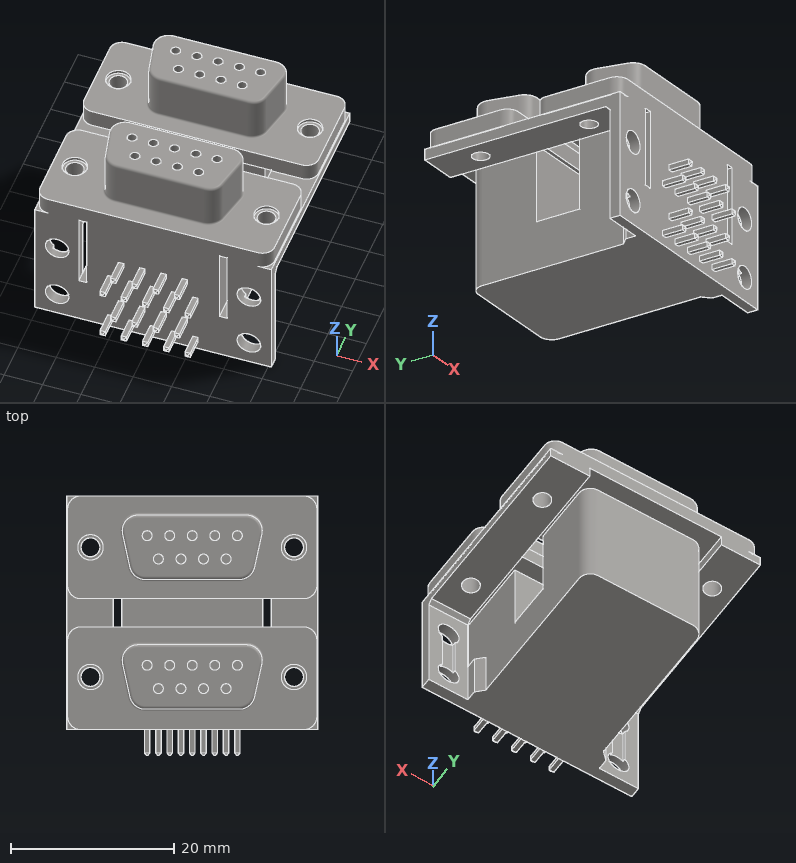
import cadquery as cq
import math


overall_width = 30.8
bracket_depth = 28.63
bracket_height = 17.0
bracket_thickness = 1.5
bracket_inner_x = 9.65
gusset = 0.6
bracket_hole_diameter = 3.05
bracket_hole_heights = (3.25, 11.25)
bracket_slot_width = 1.85
bracket_slot_depth = 0.4

body_half_width = 8.65
body_depth = 26.35
body_rear_radius = 1.7
foot_height = 6.58
foot_depth = 2.92
foot_chamfer = bracket_inner_x - body_half_width
notch_front_y = 10.4
notch_rear_y = 16.7

flange_width = 30.55
flange_depth = 12.6
flange_radius = 1.6
relief_height = 0.1
relief_top = bracket_height + relief_height
plate_thickness = 0.48
plate_top = 19.4
flange_ys = (flange_depth / 2, bracket_depth - flange_depth / 2)
shell_ys = (6.45, 22.35)
screw_spacing = 24.95
screw_hole_diameter = 2.3
screw_recess_diameter = 3.1

overall_height = 25.42
shell_height = overall_height - plate_top
shell_depth = 7.9
shell_half_width = 8.58
shell_radius = 1.95
shell_side_angle = 12.5
shell_top_radius = 0.38
shell_root_radius = 0.25

pitch = 2.75
contact_diameter = 1.2
contact_depth = 3.8
contact_row_offset = 1.43
pin_size = 0.7
pin_length = 3.15
pin_tip = 0.25
long_row_heights = (1.6, 8.42)
short_row_heights = (4.48, 11.2)
LONG_ROW = 5
SHORT_ROW = 4


def row_xs(count):
    """X places of a centred row of contacts."""
    return [(i - (count - 1) / 2) * pitch for i in range(count)]


def make_bracket():
    """Right-hand L bracket: gusset in its inner corner, two holes and a rear slot joining them."""
    arm_bottom = bracket_height - bracket_thickness
    bracket = (
        cq.Workplane("YZ")
        .workplane(offset=bracket_inner_x)
        .polyline([
            (0, 0),
            (0, bracket_height),
            (bracket_depth, bracket_height),
            (bracket_depth, arm_bottom),
            (bracket_thickness + gusset, arm_bottom),
            (bracket_thickness, arm_bottom - gusset),
            (bracket_thickness, 0),
        ])
        .close()
        .extrude(overall_width / 2 - bracket_inner_x)
    )
    holes = (
        cq.Workplane("XZ")
        .pushPoints([(screw_spacing / 2, z) for z in bracket_hole_heights])
        .circle(bracket_hole_diameter / 2)
        .extrude(-bracket_thickness)
    )
    low_hole, high_hole = bracket_hole_heights
    slot = (
        cq.Workplane("XY")
        .box(bracket_slot_width, bracket_slot_depth, high_hole - low_hole, centered=(True, False, False))
        .translate((screw_spacing / 2, bracket_thickness - bracket_slot_depth, low_hole))
    )
    return bracket.cut(holes).cut(slot)


def make_body():
    """Housing block with rounded rear edges, a top notch and a wider foot at the front."""
    body = (
        cq.Workplane("XY")
        .rect(2 * body_half_width, body_depth)
        .extrude(relief_top)
        .translate((0, body_depth / 2, 0))
        .edges("|Z and >Y")
        .fillet(body_rear_radius)
    )
    notch = cq.Workplane("XY").box(
        2 * body_half_width,
        notch_rear_y - notch_front_y,
        relief_top - foot_height,
        centered=(True, False, False),
    ).translate((0, notch_front_y, foot_height))
    foot = (
        cq.Workplane("XY")
        .polyline([
            (-bracket_inner_x, 0),
            (bracket_inner_x, 0),
            (bracket_inner_x, foot_depth),
            (body_half_width, foot_depth + foot_chamfer),
            (-body_half_width, foot_depth + foot_chamfer),
            (-bracket_inner_x, foot_depth),
        ])
        .close()
        .extrude(foot_height)
    )
    return body.cut(notch).union(foot)


def make_shell():
    """D-shaped shell standing on the XY plane, wide side toward +Y."""
    slope = math.radians(shell_side_angle)
    rear_x = shell_half_width + shell_radius * (math.tan((math.pi / 2 + slope) / 2) - 1)
    front_x = rear_x - shell_depth * math.tan(slope)
    return (
        cq.Workplane("XY")
        .polyline([
            (-front_x, -shell_depth / 2),
            (front_x, -shell_depth / 2),
            (rear_x, shell_depth / 2),
            (-rear_x, shell_depth / 2),
        ])
        .close()
        .extrude(shell_height)
        .edges("|Z")
        .fillet(shell_radius)
        .faces(">Z")
        .edges()
        .fillet(shell_top_radius)
    )


def make_connector(flange_y, shell_y):
    """Flange and shell of one connector with its screw recesses and contact holes."""
    flange = (
        cq.Workplane("XY")
        .rect(flange_width, flange_depth)
        .extrude(plate_top - bracket_height)
        .edges("|Z")
        .fillet(flange_radius)
        .translate((0, flange_y, bracket_height))
    )
    connector = flange.union(make_shell().translate((0, shell_y, plate_top)))
    half_x = shell_half_width + shell_root_radius
    half_y = shell_depth / 2 + shell_root_radius
    root_edges = cq.selectors.BoxSelector(
        (-half_x, shell_y - half_y, plate_top - shell_root_radius),
        (half_x, shell_y + half_y, plate_top + shell_root_radius),
    )
    connector = connector.edges(root_edges).fillet(shell_root_radius)
    recesses = (
        cq.Workplane("XY")
        .workplane(offset=plate_top - plate_thickness)
        .pushPoints([(-screw_spacing / 2, shell_y), (screw_spacing / 2, shell_y)])
        .circle(screw_recess_diameter / 2)
        .extrude(plate_thickness)
    )
    contact_points = [(x, shell_y + contact_row_offset) for x in row_xs(LONG_ROW)]
    contact_points += [(x, shell_y - contact_row_offset) for x in row_xs(SHORT_ROW)]
    contacts = (
        cq.Workplane("XY")
        .workplane(offset=overall_height - contact_depth)
        .pushPoints(contact_points)
        .circle(contact_diameter / 2)
        .extrude(contact_depth)
    )
    reliefs = (
        cq.Workplane("XY")
        .workplane(offset=bracket_height)
        .center(0, flange_y)
        .rect(2 * bracket_inner_x, flange_depth)
        .extrude(relief_height)
    )
    return connector.cut(recesses).cut(contacts).cut(reliefs)


def make_pins():
    """Square solder pins with pointed tips, reaching out of the mounting face."""
    points = [(x, z) for z in long_row_heights for x in row_xs(LONG_ROW)]
    points += [(x, z) for z in short_row_heights for x in row_xs(SHORT_ROW)]
    return (
        cq.Workplane("XZ")
        .pushPoints(points)
        .rect(pin_size, pin_size)
        .extrude(pin_length)
        .faces("<Y")
        .chamfer(pin_tip)
    )


bracket = make_bracket()
result = make_body().union(bracket).union(bracket.mirror("YZ"))
for flange_y, shell_y in zip(flange_ys, shell_ys):
    result = result.union(make_connector(flange_y, shell_y))

screw_holes = (
    cq.Workplane("XY")
    .pushPoints([(side * screw_spacing / 2, y) for side in (-1, 1) for y in shell_ys])
    .circle(screw_hole_diameter / 2)
    .extrude(plate_top)
)
result = result.cut(screw_holes).union(make_pins())